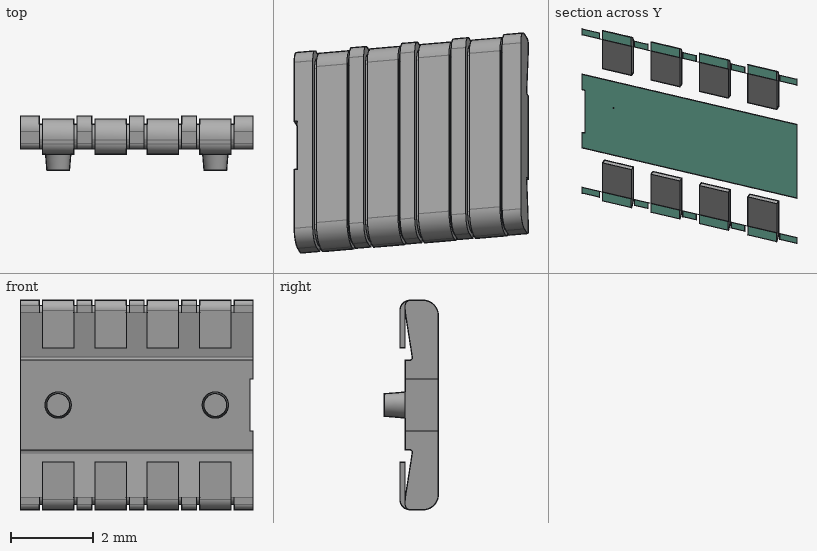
import cadquery as cq

LENGTH = 5.64
HEIGHT = 5.08
BODY_DEPTH = 0.805

CONTACT_COUNT = 4
CONTACT_PITCH = 1.27
CONTACT_WIDTH = 0.76
CONTACT_THICKNESS = 0.13
CONTACT_LEG = 1.155
SIDE_GAP = 0.075
BACK_RECESS = 0.075

RIB_BACK_RADIUS = 0.38
RIB_FRONT_RADIUS = 0.13
CONTACT_BACK_RADIUS = 0.51
CONTACT_FRONT_RADIUS = 0.255
CORE_FRONT_RADIUS = 0.175

RELIEF_START = 0.3
RELIEF_END = 1.455
RELIEF_DEPTH = 0.18
RELIEF_FILLET = 0.06

PIN_LENGTH = 0.515
PIN_BASE_DIAMETER = 0.64
PIN_TIP_DIAMETER = 0.55

NOTCH_DEPTH = 0.075
NOTCH_HEIGHT = 1.25

HALF_HEIGHT = HEIGHT / 2
CHANNEL_WIDTH = CONTACT_WIDTH + 2 * SIDE_GAP
CONTACT_BACK = BODY_DEPTH - BACK_RECESS
CORE_BACK = CONTACT_BACK - CONTACT_THICKNESS
CORE_HEIGHT = HEIGHT - 2 * CONTACT_THICKNESS
FIRST_CONTACT = -CONTACT_PITCH * (CONTACT_COUNT - 1) / 2
CONTACT_CENTRES = [FIRST_CONTACT + i * CONTACT_PITCH for i in range(CONTACT_COUNT)]


def box(x_range, y_range, z_range):
    """Box between the given (low, high) limits."""
    sizes = [high - low for low, high in (x_range, y_range, z_range)]
    corner = (x_range[0], y_range[0], z_range[0])
    return cq.Workplane("XY").box(*sizes, centered=False).translate(corner)


def bar(x_range, y_range, height, front_radius, back_radius):
    """Bar along X whose front and back edges are rounded to different radii."""
    solid = box(x_range, y_range, (-height / 2, height / 2))
    solid = solid.edges("|X and <Y").fillet(front_radius)
    return solid.edges("|X and >Y").fillet(back_radius)


def core(x_range):
    """Piece of the thin inner body that the contacts wrap around."""
    back_radius = CONTACT_BACK_RADIUS - CONTACT_THICKNESS
    return bar(x_range, (0, CORE_BACK), CORE_HEIGHT, CORE_FRONT_RADIUS, back_radius)


def ribs():
    """Full-depth body with the channels between the ribs left open."""
    ends = (-LENGTH / 2, LENGTH / 2)
    solid = bar(ends, (0, BODY_DEPTH), HEIGHT, RIB_FRONT_RADIUS, RIB_BACK_RADIUS)
    for x in CONTACT_CENTRES:
        sides = (x - CHANNEL_WIDTH / 2, x + CHANNEL_WIDTH / 2)
        solid = solid.cut(box(sides, (0, BODY_DEPTH), (-HALF_HEIGHT, HALF_HEIGHT)))
        solid = solid.union(core(sides))
    return solid


def upper_relief():
    """Wedge with a sloped floor and a rounded inner corner."""
    outline = [
        (0, HALF_HEIGHT - RELIEF_START),
        (0, HALF_HEIGHT - RELIEF_END),
        (RELIEF_DEPTH, HALF_HEIGHT - RELIEF_END),
    ]
    wedge = cq.Workplane("YZ").polyline(outline).close().extrude(LENGTH / 2, both=True)
    return wedge.edges("|X and >Y").fillet(RELIEF_FILLET)


def contact(x):
    """Strip around the back, top and bottom, ending in two front legs."""
    sides = (x - CONTACT_WIDTH / 2, x + CONTACT_WIDTH / 2)
    depth_range = (-CONTACT_THICKNESS, CONTACT_BACK)
    strip = bar(sides, depth_range, HEIGHT, CONTACT_FRONT_RADIUS, CONTACT_BACK_RADIUS)
    leg_end = HALF_HEIGHT - CONTACT_LEG
    opening = box(sides, (-CONTACT_THICKNESS, 0), (-leg_end, leg_end))
    return strip.cut(core(sides)).cut(opening)


def pin(x):
    """Tapered pin standing out of the front face."""
    base = cq.Workplane("XZ", origin=(x, 0, 0)).circle(PIN_BASE_DIAMETER / 2)
    return base.workplane(offset=PIN_LENGTH).circle(PIN_TIP_DIAMETER / 2).loft()


relief = upper_relief()
body = ribs().cut(relief).cut(relief.mirror("XY"))

notch_x = (LENGTH / 2 - NOTCH_DEPTH, LENGTH / 2)
body = body.cut(box(notch_x, (0, BODY_DEPTH), (-NOTCH_HEIGHT / 2, NOTCH_HEIGHT / 2)))

for centre in CONTACT_CENTRES:
    body = body.union(contact(centre))

for centre in (CONTACT_CENTRES[0], CONTACT_CENTRES[-1]):
    body = body.union(pin(centre))

result = body